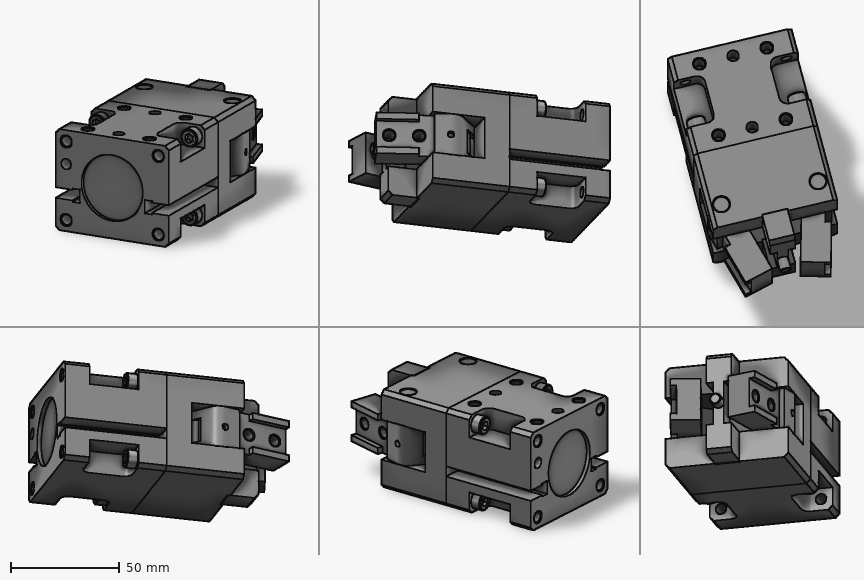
import cadquery as cq
import math


length = 110.5
width = 59.0
height = 49.0
edge_chamfer = 2.0
joint_y = 48.8
head_front_y = 86.2
half_width = width / 2
half_height = height / 2

bore_recess_diameter = 31.9
bore_recess_depth = 2.0
point_angle = 118.0
rear_dowel_diameter = 5.1
rear_dowel_z = 8.1
rear_dowel_depth = 10.0

screw_x = 24.0
screw_z = 19.0
screw_head_diameter = 8.5
screw_head_length = 5.1
screw_head_chamfer = 0.5
socket_across_flats = 4.0
socket_depth = 2.5
pocket_rear_y = 11.9
pocket_front_y = 35.5
pocket_inner_x = 15.6
pocket_depth = 10.7
pocket_corner_radius = 4.0

thread_diameter = 5.1
thread_mouth_diameter = 6.1
mouth_chamfer = (thread_mouth_diameter - thread_diameter) / 2

mount_rows_y = (6.5, 42.5)
mount_x = 16.0
mount_depth = 10.0
top_dowel_diameter = 5.3

slot_z = -6.5
slot_neck_height = 5.1
slot_foot_height = 6.5
slot_neck_x = 20.7
slot_foot_x = 16.9

window_rear_y = 61.0
window_height = 20.0
pivot_x = 23.0
pivot_y = 75.6
pin_diameter = 7.7
pin_recess_depth = 0.4
pin_recess_chamfer = 0.3
guide_width = 12.0
guide_height = 48.2
guide_chamfer = 2.0
guide_gap = 20.5
guide_front_y = 100.0
guide_seat_depth = 1.1
stop_diameter = 5.2
stop_end_y = 106.0
stop_chamfer = 0.3
bridge_rear_y = 90.6

jaw_angle = 15.0
hub_radius = 6.4
jaw_lean = math.radians(jaw_angle)
arm_tip = (length - pivot_y - hub_radius * math.sin(jaw_lean)) / math.cos(jaw_lean)
arm_inner_offset = 7.6
seat_offset = 3.5
hub_step = 7.6
flange_start = 14.7
flange_height = 3.1
jaw_holes = (14.5, 28.4)
oil_hole_diameter = 3.0
tail_angle = 51.0
tail_length = 14.3
tail_thickness = 5.3
fork_gap = 11.4
web_radius = 3.2
web_edge_x = -19.9
web_edge_y = 67.2

piston_radius = 14.4
tongue_thickness = 10.7
tongue_end_y = web_edge_y - web_radius


def box(x_range, y_range, z_range):
    """Axis-aligned box between pairs of limits."""
    size = [high - low for low, high in (x_range, y_range, z_range)]
    corner = (x_range[0], y_range[0], z_range[0])
    return cq.Workplane("XY", origin=corner).box(*size, centered=False)


def chamfered_block(y_start, y_end):
    """Length of the housing section with its four long edges chamfered."""
    block = box((-half_width, half_width), (y_start, y_end), (-half_height, half_height))
    return block.edges("|Y").chamfer(edge_chamfer)


def drill(position, direction, diameter, depth, mouth=0.0, pointed=False):
    """Cutter for a round hole, with an optional mouth chamfer and drill point."""
    radius = diameter / 2
    start = cq.Vector(*position)
    along = cq.Vector(*direction).normalized()
    cutter = cq.Solid.makeCylinder(radius, depth, start, along)
    if mouth:
        cutter = cutter.fuse(cq.Solid.makeCone(radius + mouth, radius, mouth, start, along))
    if pointed:
        point_length = radius / math.tan(math.radians(point_angle / 2))
        cutter = cutter.fuse(cq.Solid.makeCone(radius, 0, point_length, start + along * depth, along))
    return cutter


def screw_pocket(side, level):
    """Cutter for the corner pocket around one clamp screw head."""
    length = pocket_front_y - pocket_rear_y
    reach = half_width - pocket_inner_x
    pocket = (
        cq.Workplane("XY", origin=(half_width, (pocket_front_y + pocket_rear_y) / 2, half_height))
        .rect(2 * reach, length)
        .extrude(-pocket_depth)
        .edges("|Z")
        .fillet(pocket_corner_radius)
    )
    if side < 0:
        pocket = pocket.mirror("YZ")
    if level < 0:
        pocket = pocket.mirror("XY")
    return pocket


def screw_head(side, level):
    """Socket head of a clamp screw, seated on the front wall of its pocket."""
    plane = cq.Workplane("XZ", origin=(side * screw_x, pocket_front_y, level * screw_z))
    head = plane.circle(screw_head_diameter / 2).extrude(screw_head_length)
    head = head.faces("<Y").edges().chamfer(screw_head_chamfer)
    socket = (
        plane.workplane(offset=screw_head_length - socket_depth)
        .transformed(rotate=(0, 0, 90))
        .polygon(6, socket_across_flats / math.cos(math.radians(30)))
        .extrude(socket_depth)
    )
    return head.cut(socket)


def sensor_slot(side):
    """Cutter for the T-slot running along one side of the cylinder."""
    def bar(inner_x, outer_x, bar_height):
        x_range = sorted((side * inner_x, side * outer_x))
        return box(x_range, (0, joint_y), (slot_z - bar_height / 2, slot_z + bar_height / 2))

    neck = bar(slot_neck_x, half_width, slot_neck_height)
    foot = bar(slot_foot_x, slot_neck_x, slot_foot_height)
    return neck.union(foot)


def piston_tongue():
    """Flat-sided piston rod reaching from the joint into the jaw window."""
    rod = cq.Workplane("XZ", origin=(0, joint_y, 0)).circle(piston_radius).extrude(joint_y - tongue_end_y)
    slab = box(
        (-piston_radius, piston_radius),
        (joint_y, tongue_end_y),
        (-tongue_thickness / 2, tongue_thickness / 2),
    )
    return rod.intersect(slab)


def make_cylinder():
    body = chamfered_block(0, joint_y)
    body = body.cut(drill((0, 0, 0), (0, 1, 0), bore_recess_diameter, bore_recess_depth))
    body = body.cut(
        drill((-screw_x, 0, rear_dowel_z), (0, 1, 0), rear_dowel_diameter, rear_dowel_depth, pointed=True)
    )

    for y in mount_rows_y:
        for x in (-mount_x, mount_x):
            body = body.cut(
                drill((x, y, half_height), (0, 0, -1), thread_diameter, mount_depth, mouth_chamfer, True)
            )
        body = body.cut(drill((0, y, half_height), (0, 0, -1), top_dowel_diameter, mount_depth, pointed=True))

    for side in (-1, 1):
        body = body.cut(sensor_slot(side))
        for level in (-1, 1):
            access_start = (side * screw_x, 0, level * screw_z)
            body = body.cut(screw_pocket(side, level))
            body = body.cut(drill(access_start, (0, 1, 0), thread_diameter, pocket_rear_y, mouth_chamfer))
            body = body.union(screw_head(side, level))

    return body.union(piston_tongue())


def make_guide():
    """Forked centre guide whose bridge carries the stop pin."""
    seat_y = head_front_y - guide_seat_depth
    half_guide = guide_width / 2
    guide = box((-half_guide, half_guide), (seat_y, guide_front_y), (-guide_height / 2, guide_height / 2))
    guide = guide.faces(">Y").edges("|X").chamfer(guide_chamfer)
    guide = guide.cut(
        box((-half_guide, half_guide), (seat_y, guide_front_y), (-guide_gap / 2, guide_gap / 2))
    )
    bridge = box(
        (-stop_diameter / 2, stop_diameter / 2),
        (bridge_rear_y, guide_front_y),
        (-guide_gap / 2, guide_gap / 2),
    )
    stop = (
        cq.Workplane("XZ", origin=(0, guide_front_y, 0))
        .circle(stop_diameter / 2)
        .extrude(guide_front_y - stop_end_y)
        .faces(">Y")
        .edges()
        .chamfer(stop_chamfer)
    )
    return guide.union(bridge).union(stop)


def make_head():
    half_window = window_height / 2
    half_guide = guide_width / 2
    body = chamfered_block(joint_y, head_front_y)
    body = body.cut(
        box((-half_width, half_width), (window_rear_y, head_front_y), (-half_window, half_window))
    )
    body = body.cut(piston_tongue())
    body = body.cut(
        box(
            (-half_guide, half_guide),
            (head_front_y - guide_seat_depth, head_front_y),
            (-half_height, half_height),
        )
    )

    for side in (-1, 1):
        pin = (
            cq.Workplane("XY", origin=(side * pivot_x, pivot_y, -half_window))
            .circle(pin_diameter / 2)
            .extrude(window_height)
        )
        recess_top = (side * pivot_x, pivot_y, half_height)
        recess = drill(
            recess_top, (0, 0, -1), pin_diameter - pin_recess_chamfer, pin_recess_depth, pin_recess_chamfer
        )
        body = body.union(pin).cut(recess)

    return body.union(make_guide())


def left_jaw():
    tail_tilt = math.radians(180 + tail_angle)

    def arm_point(along, outward):
        """Point given along the arm and outward from the pivot."""
        x = -pivot_x + along * math.sin(jaw_lean) - outward * math.cos(jaw_lean)
        y = pivot_y + along * math.cos(jaw_lean) + outward * math.sin(jaw_lean)
        return (x, y)

    def tail_point(along, outward):
        """Point given along the tail and outward from the pivot."""
        x = -pivot_x + outward * math.cos(tail_tilt) - along * math.sin(tail_tilt)
        y = pivot_y + outward * math.sin(tail_tilt) + along * math.cos(tail_tilt)
        return (x, y)

    tail_inner_offset = hub_radius - tail_thickness
    turn = math.radians(tail_angle + jaw_angle)
    corner_along = -(tail_inner_offset + arm_inner_offset * math.cos(turn)) / math.sin(turn)
    hub_middle_angle = math.radians(180 + (tail_angle - jaw_angle) / 2)
    hub_middle = (
        -pivot_x + hub_radius * math.cos(hub_middle_angle),
        pivot_y + hub_radius * math.sin(hub_middle_angle),
    )

    jaw = (
        cq.Workplane("XY", origin=(0, 0, -window_height / 2))
        .moveTo(*arm_point(arm_tip, -arm_inner_offset))
        .lineTo(*arm_point(arm_tip, hub_radius))
        .lineTo(*arm_point(flange_start, hub_radius))
        .lineTo(*arm_point(flange_start, seat_offset))
        .lineTo(*arm_point(hub_step, seat_offset))
        .lineTo(*arm_point(hub_step, hub_radius))
        .lineTo(*arm_point(0, hub_radius))
        .threePointArc(hub_middle, tail_point(0, hub_radius))
        .lineTo(*tail_point(tail_length, hub_radius))
        .threePointArc(
            tail_point(tail_length + tail_thickness / 2, hub_radius - tail_thickness / 2),
            tail_point(tail_length, tail_inner_offset),
        )
        .lineTo(*arm_point(corner_along, -arm_inner_offset))
        .close()
        .extrude(window_height)
    )

    channel_height = window_height - 2 * flange_height
    channel = (
        cq.Workplane("XY", origin=(0, 0, -channel_height / 2))
        .polyline(
            [
                arm_point(flange_start, seat_offset),
                arm_point(flange_start, hub_radius),
                arm_point(arm_tip, hub_radius),
                arm_point(arm_tip, seat_offset),
            ]
        )
        .close()
        .extrude(channel_height)
    )
    jaw = jaw.cut(channel)

    web_middle = (
        web_edge_x + web_radius * (1 - math.cos(math.pi / 4)),
        web_edge_y - web_radius * math.sin(math.pi / 4),
    )
    fork = (
        cq.Workplane("XY", origin=(0, 0, -fork_gap / 2))
        .moveTo(-half_width, web_edge_y)
        .lineTo(web_edge_x, web_edge_y)
        .threePointArc(web_middle, (web_edge_x + web_radius, web_edge_y - web_radius))
        .lineTo(0, web_edge_y - web_radius)
        .lineTo(0, window_rear_y)
        .lineTo(-half_width, window_rear_y)
        .close()
        .extrude(fork_gap)
    )
    jaw = jaw.cut(fork)

    inward = (math.cos(jaw_lean), -math.sin(jaw_lean), 0)
    for along in jaw_holes:
        start = (*arm_point(along, seat_offset), 0)
        jaw = jaw.cut(drill(start, inward, thread_diameter, seat_offset + arm_inner_offset, mouth_chamfer))
    jaw = jaw.cut(drill((*arm_point(0, hub_radius), 0), inward, oil_hole_diameter, hub_radius))
    pivot_bore = drill((-pivot_x, pivot_y, -window_height / 2), (0, 0, 1), pin_diameter, window_height)
    return jaw.cut(pivot_bore)


def make_jaw(side):
    """Jaw on one side of the gripper; the right jaw mirrors the left one."""
    jaw = left_jaw()
    return jaw.mirror("YZ") if side > 0 else jaw


cylinder = make_cylinder()
head = make_head()
jaws = [make_jaw(side) for side in (-1, 1)]

bodies = [cylinder, head, *jaws]

result = cq.Compound.makeCompound([body.solids().val() for body in bodies])